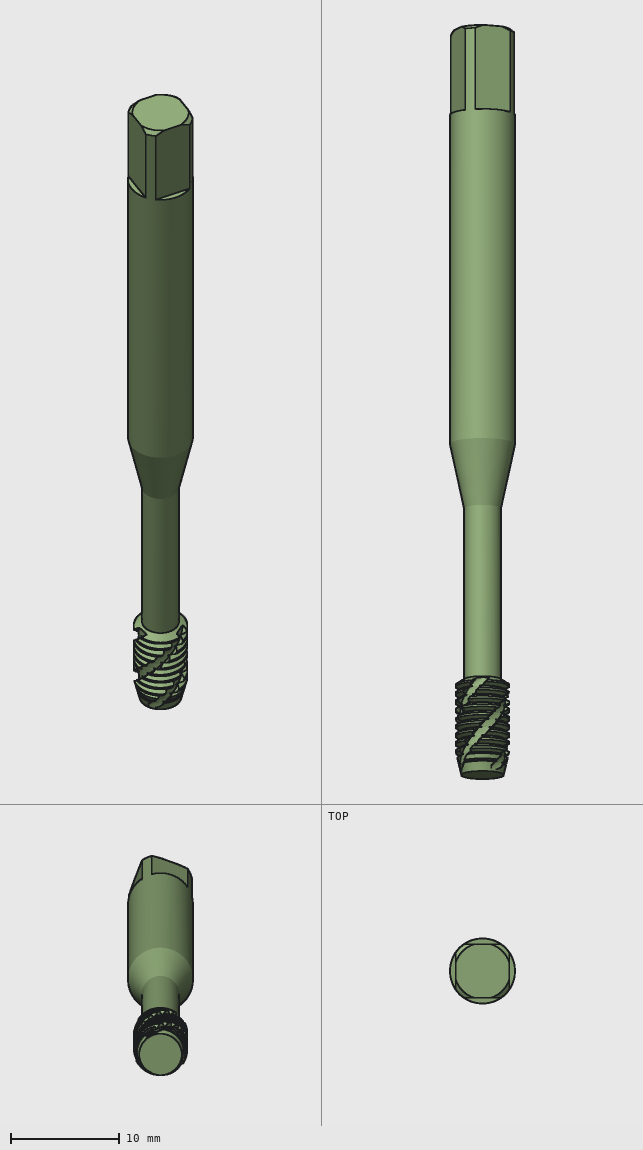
import cadquery as cq
import math

total_length = 70.0
head_length = 8.95

neck_diameter = 3.4
neck_top = 25.05
shank_diameter = 6.0
taper_top = 31.1
square_width = 4.9
square_length = 8.0
end_chamfer_height = 0.35
end_chamfer_width = 0.4

thread_diameter = 5.0
core_diameter = 4.05
thread_flank_angle = 60.0
first_full_ring = 2.2
last_full_ring = 8.4
full_ring_count = 9
lead_in_ring_count = 2
crest_width = 0.2

tip_diameter = 3.9
lead_in_length = 2.25
back_cone_length = 0.5

flute_count = 3
flute_lead = 14.7
flute_floor_diameter = 4.0
flute_floor_width = 1.2
flute_mouth_width = 1.8
flute_start_angle = 184.0

pitch = (last_full_ring - first_full_ring) / (full_ring_count - 1)
core_radius = core_diameter / 2
thread_radius = thread_diameter / 2
neck_radius = neck_diameter / 2
shank_radius = shank_diameter / 2
cut_margin = 0.7


def revolved(points):
    """Solid of revolution about Z from (radius, height) points."""
    return cq.Workplane("XZ").polyline(points).close().revolve(360, (0, 0), (0, 1))


def make_shank():
    """Neck, taper and cylinder with a square at the top, ready to sit on the head."""
    body = revolved([
        (0, head_length),
        (neck_radius, head_length),
        (neck_radius, neck_top),
        (shank_radius, taper_top),
        (shank_radius, total_length - end_chamfer_height),
        (shank_radius - end_chamfer_width, total_length),
        (0, total_length),
    ])
    around_square = (
        cq.Workplane("XY", origin=(0, 0, total_length - square_length))
        .circle(shank_diameter)
        .rect(square_width, square_width)
        .extrude(square_length)
    )
    return body.cut(around_square)


def make_ringed_blank():
    """Core with V-shaped rings, trimmed to the lead-in and back cones."""
    flank_height = (thread_radius - core_radius) * math.tan(math.radians(thread_flank_angle / 2))
    half_crest = crest_width / 2
    half_root = half_crest + flank_height
    outline = [(0, 0), (core_radius, 0)]
    for ring in range(-lead_in_ring_count, full_ring_count):
        height = first_full_ring + ring * pitch
        outline += [
            (core_radius, height - half_root),
            (thread_radius, height - half_crest),
            (thread_radius, height + half_crest),
            (core_radius, height + half_root),
        ]
    outline[-1] = (thread_radius, head_length)
    outline.append((0, head_length))

    envelope = revolved([
        (0, 0),
        (tip_diameter / 2, 0),
        (thread_radius, lead_in_length),
        (thread_radius, head_length - back_cone_length),
        (neck_radius, head_length),
        (0, head_length),
    ])
    return revolved(outline).intersect(envelope)


def make_flute_cutter(start_angle):
    """Twisted bar that sweeps one flute along the whole head."""
    height = head_length + 2 * cut_margin
    floor = flute_floor_diameter / 2
    mouth = thread_radius + cut_margin
    section = [
        (floor, -flute_floor_width / 2),
        (mouth, -flute_mouth_width / 2),
        (mouth, flute_mouth_width / 2),
        (floor, flute_floor_width / 2),
    ]
    return (
        cq.Workplane("XY")
        .polyline(section)
        .close()
        .twistExtrude(height, 360 * height / flute_lead)
        .rotate((0, 0, 0), (0, 0, 1), start_angle - 360 * cut_margin / flute_lead)
        .translate((0, 0, -cut_margin))
    )


def make_threaded_head():
    """Ringed blank cut by the evenly spaced helical flutes."""
    head = make_ringed_blank()
    for flute in range(flute_count):
        head = head.cut(make_flute_cutter(flute_start_angle + flute * 360 / flute_count))
    return head


shank = make_shank()
threaded_head = make_threaded_head()
result = cq.Compound.makeCompound([shank.val(), threaded_head.val()])